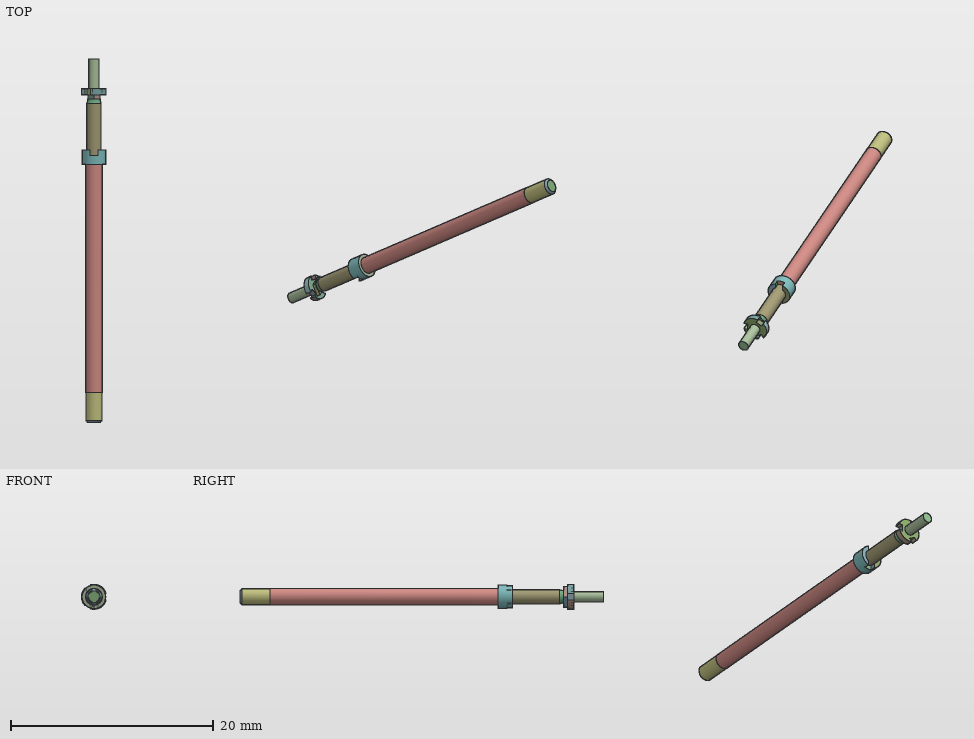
import cadquery as cq
import math

length = 36.0

rod_diameter = 1.05
flange_diameter = 2.5
neck_diameter = 1.25
sleeve_diameter = 1.45
collar_diameter = 2.35
shaft_diameter = 1.65
tip_diameter = 1.62
tip_chamfer = 0.2

rod_length = 2.95
flange_thickness = 0.6
boss_thickness = 0.4
neck_length = 0.45
sleeve_length = 4.6
collar_length = 1.45
tip_length = 3.0

flange_back = length - rod_length
boss_back = flange_back - flange_thickness
neck_back = boss_back - boss_thickness
sleeve_back = neck_back - neck_length
collar_back = sleeve_back - sleeve_length
shaft_back = collar_back - collar_length

neck_radius = neck_diameter / 2
sleeve_radius = sleeve_diameter / 2
flare_rise = sleeve_radius - neck_radius
flare_radius = (neck_length**2 + flare_rise**2) / (2 * flare_rise)

notch_count = 3
notch_width = 0.65
notch_depth = 0.45

boss_half_height = 1.05
boss_point_angle = 60.0
boss_half_width = boss_half_height * math.tan(math.radians(boss_point_angle / 2))

slot_width = 0.75
slot_depth = 0.55


def disc(diameter, start, end):
    """Cylinder around the Y axis between two Y positions."""
    return cq.Workplane("XZ", origin=(0, end, 0)).circle(diameter / 2).extrude(end - start)


def make_flange():
    flange = disc(flange_diameter, boss_back, flange_back)
    for index in range(notch_count):
        notch = (
            cq.Workplane("XY")
            .box(2 * notch_depth, flange_thickness, notch_width)
            .translate((flange_diameter / 2, (flange_back + boss_back) / 2, 0))
            .rotate((0, 0, 0), (0, 1, 0), index * 360 / notch_count)
        )
        flange = flange.cut(notch)
    return flange


def make_boss():
    corners = [
        (boss_half_width, 0),
        (0, boss_half_height),
        (-boss_half_width, 0),
        (0, -boss_half_height),
    ]
    return (
        cq.Workplane("XZ", origin=(0, boss_back, 0))
        .polyline(corners)
        .close()
        .extrude(boss_thickness)
    )


def make_neck_and_sleeve():
    """Neck with a concave wall, parallel to the axis at the boss, that flares out to the sleeve."""
    return (
        cq.Workplane("XY")
        .moveTo(0, neck_back)
        .lineTo(neck_radius, neck_back)
        .radiusArc((sleeve_radius, sleeve_back), -flare_radius)
        .lineTo(sleeve_radius, collar_back)
        .lineTo(0, collar_back)
        .close()
        .revolve(360, (0, 0, 0), (0, 1, 0))
    )


def make_collar():
    """Collar whose slots stop at the sleeve, which carries on through it."""
    collar = disc(collar_diameter, shaft_back, collar_back)
    slots = (
        cq.Workplane("XY")
        .box(slot_width, slot_depth, collar_diameter)
        .translate((0, collar_back - slot_depth / 2, 0))
    )
    core = disc(sleeve_diameter, shaft_back, collar_back)
    return collar.cut(slots).union(core)


rod = disc(rod_diameter, flange_back, length)
shaft = disc(shaft_diameter, tip_length, shaft_back)
tip = disc(tip_diameter, 0, tip_length).faces("<Y").chamfer(tip_chamfer)

result = (
    rod.union(make_flange())
    .union(make_boss())
    .union(make_neck_and_sleeve())
    .union(make_collar())
    .union(shaft)
    .union(tip)
)